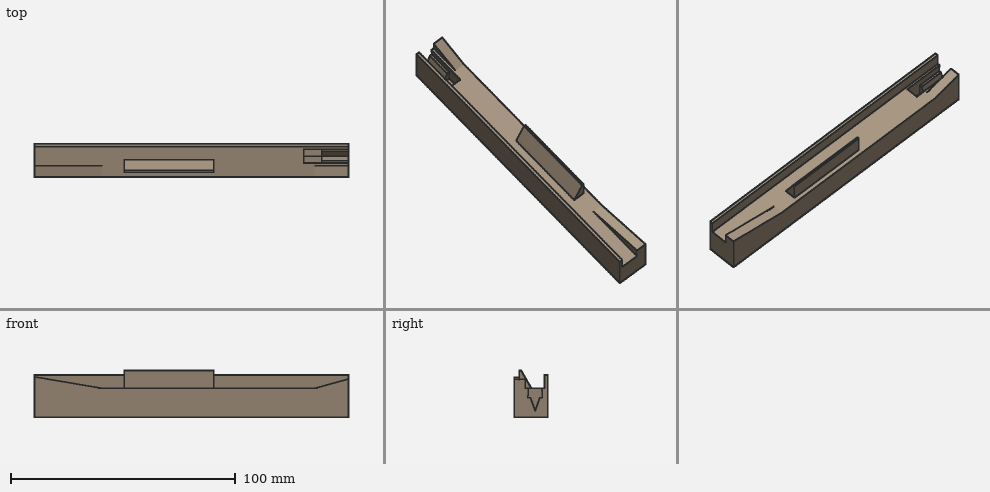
import cadquery as cq

LENGTH = 140.0
WIDTH = 15.0
BASE_HEIGHT = 13.0

WALL_THICKNESS = 1.5
WALL_HEIGHT = 6.0

CATCH_START = 40.0
CATCH_LENGTH = 40.0
CATCH_FRONT = 2.2
CATCH_TOP_WIDTH = 0.9
CATCH_FOOT_WIDTH = 5.5
CATCH_HEIGHT = 8.0

RAMP_WIDTH = 5.0
LEFT_RAMP_LENGTH = 30.0
LEFT_RAMP_HEIGHT = 5.0
LEFT_RAMP_FLAT = 0.5
RIGHT_RAMP_LENGTH = 15.0
RIGHT_RAMP_HEIGHT = 4.0
RIGHT_RAMP_FLAT = 0.5

SLOT_CENTRE = 9.35
SLOT_LENGTH = 20.0
SLOT_TOP_WIDTH = 6.0
SLOT_FLOOR_WIDTH = 6.5
SLOT_DEPTH = 4.2

GROOVE_WIDTH = 4.2
GROOVE_DEPTH = 5.8
POCKET_LENGTH = 8.0
POCKET_DEPTH = 9.9

SLOT_START = LENGTH - SLOT_LENGTH
SLOT_FLOOR = BASE_HEIGHT - SLOT_DEPTH


def prism_along_x(profile, start, length):
    """Extrude a closed (y, z) profile along +X."""
    return cq.Workplane("YZ", origin=(start, 0, 0)).polyline(profile).close().extrude(length)


def make_body():
    """L-shaped bar: base with the back wall standing on it."""
    wall_face = WIDTH - WALL_THICKNESS
    wall_top = BASE_HEIGHT + WALL_HEIGHT
    profile = [
        (0, 0),
        (WIDTH, 0),
        (WIDTH, wall_top),
        (wall_face, wall_top),
        (wall_face, BASE_HEIGHT),
        (0, BASE_HEIGHT),
    ]
    return prism_along_x(profile, 0, LENGTH)


def make_catch():
    """Ridge with an upright front face and a sloping back face."""
    top = BASE_HEIGHT + CATCH_HEIGHT
    profile = [
        (CATCH_FRONT, BASE_HEIGHT),
        (CATCH_FRONT + CATCH_FOOT_WIDTH, BASE_HEIGHT),
        (CATCH_FRONT + CATCH_TOP_WIDTH, top),
        (CATCH_FRONT, top),
    ]
    return prism_along_x(profile, CATCH_START, CATCH_LENGTH)


def make_ramp(end, inward, length, height, flat):
    """Ramp falling from a short flat at the bar end; inward is the X sign pointing into the bar."""
    top = BASE_HEIGHT + height
    profile = [
        (end, BASE_HEIGHT),
        (end, top),
        (end + inward * flat, top),
        (end + inward * length, BASE_HEIGHT),
    ]
    return cq.Workplane("XZ").polyline(profile).close().extrude(-RAMP_WIDTH)


def make_slot():
    """Dovetail-shaped slot, narrowest at the top of the base."""
    profile = [
        (SLOT_CENTRE - SLOT_TOP_WIDTH / 2, BASE_HEIGHT),
        (SLOT_CENTRE + SLOT_TOP_WIDTH / 2, BASE_HEIGHT),
        (SLOT_CENTRE + SLOT_FLOOR_WIDTH / 2, SLOT_FLOOR),
        (SLOT_CENTRE - SLOT_FLOOR_WIDTH / 2, SLOT_FLOOR),
    ]
    return prism_along_x(profile, SLOT_START, SLOT_LENGTH)


def make_groove():
    """Symmetric V running the whole length of the slot."""
    profile = [
        (SLOT_CENTRE - GROOVE_WIDTH / 2, SLOT_FLOOR),
        (SLOT_CENTRE + GROOVE_WIDTH / 2, SLOT_FLOOR),
        (SLOT_CENTRE, SLOT_FLOOR - GROOVE_DEPTH),
    ]
    return prism_along_x(profile, SLOT_START, SLOT_LENGTH)


def make_pocket():
    """Rectangular pocket as wide as the slot floor."""
    pocket_floor = BASE_HEIGHT - POCKET_DEPTH
    profile = [
        (SLOT_CENTRE - SLOT_FLOOR_WIDTH / 2, SLOT_FLOOR),
        (SLOT_CENTRE + SLOT_FLOOR_WIDTH / 2, SLOT_FLOOR),
        (SLOT_CENTRE + SLOT_FLOOR_WIDTH / 2, pocket_floor),
        (SLOT_CENTRE - SLOT_FLOOR_WIDTH / 2, pocket_floor),
    ]
    return prism_along_x(profile, SLOT_START, POCKET_LENGTH)


result = (
    make_body()
    .union(make_catch())
    .union(make_ramp(0, 1, LEFT_RAMP_LENGTH, LEFT_RAMP_HEIGHT, LEFT_RAMP_FLAT))
    .union(make_ramp(LENGTH, -1, RIGHT_RAMP_LENGTH, RIGHT_RAMP_HEIGHT, RIGHT_RAMP_FLAT))
    .cut(make_slot())
    .cut(make_pocket())
    .cut(make_groove())
)